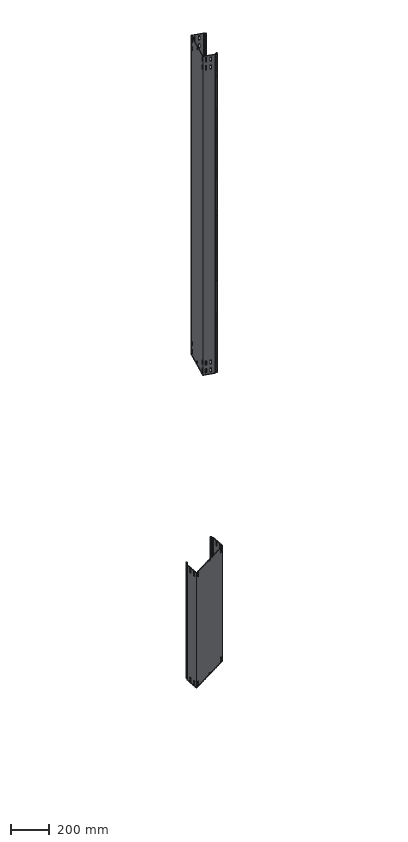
import cadquery as cq
import math

LENGTH = 2000
WIDTH = 200
DEPTH = 80
SHEET = 1.2
BEND_RADIUS = 0.5

STEP_START = 65.0
STEP_DEPTH = 3.5
STEP_RISE = 4.5
ROLL_RADIUS = 5.0
RETURN_LENGTH = 2.0

SLOT_PITCH = 50.0
SLOT_LENGTH = SLOT_PITCH / 2
ROW_OFFSETS = (SLOT_PITCH / 2, SLOT_PITCH * 3 / 2)
SLOT_WIDTH = 7.0
SLOT_ANGLE = 90
WEB_SLOT_INSET = 13.0
WALL_SLOT_PITCH = 25.0
LOWER_WALL_SLOT_Y = 17.0
UPPER_WALL_SLOT_Y = LOWER_WALL_SLOT_Y + WALL_SLOT_PITCH

CENTRE_HOLE_DIAMETER = 9.0
CENTRE_HOLE_OFFSET = 18.0


def skin_points(offset):
    """Corner points of the left wall, from web to lip, `offset` inward from the outer skin."""
    step_shift = offset * math.tan(math.atan2(STEP_DEPTH, STEP_RISE) / 2)
    wall = -WIDTH / 2 + offset
    neck = wall + STEP_DEPTH
    start = STEP_START - step_shift
    roll_y = DEPTH - ROLL_RADIUS
    radius = ROLL_RADIUS - offset
    roll_x = neck + radius
    lip = roll_x + radius
    return {
        "corner": (wall, offset),
        "step_low": (wall, start),
        "step_high": (neck, start + STEP_RISE),
        "roll_start": (neck, roll_y),
        "roll_top": (roll_x, roll_y + radius),
        "roll_end": (lip, roll_y),
        "lip_end": (lip, roll_y - RETURN_LENGTH),
    }


def channel():
    """The bent sheet without holes: one half and its mirror image."""
    outer = skin_points(0)
    inner = skin_points(SHEET)
    outer_corner = cq.selectors.NearestToPointSelector((*outer["corner"], LENGTH / 2))
    half = (
        cq.Workplane("XY")
        .moveTo(0, 0)
        .lineTo(*outer["corner"])
        .lineTo(*outer["step_low"])
        .lineTo(*outer["step_high"])
        .lineTo(*outer["roll_start"])
        .threePointArc(outer["roll_top"], outer["roll_end"])
        .lineTo(*outer["lip_end"])
        .lineTo(*inner["lip_end"])
        .lineTo(*inner["roll_end"])
        .threePointArc(inner["roll_top"], inner["roll_start"])
        .lineTo(*inner["step_high"])
        .lineTo(*inner["step_low"])
        .lineTo(*inner["corner"])
        .lineTo(0, SHEET)
        .close()
        .extrude(LENGTH)
        .edges(outer_corner)
        .fillet(BEND_RADIUS)
    )
    return half.union(half.mirror("YZ")).clean()


def from_both_ends(offset):
    return (offset, LENGTH - offset)


def slots(plane, positions, depth):
    """Upright slots centred at `positions` on `plane`, cut `depth` to both sides of it."""
    points = [(p, z) for p in positions for row in ROW_OFFSETS for z in from_both_ends(row)]
    outlines = cq.Workplane(plane).pushPoints(points).slot2D(SLOT_LENGTH, SLOT_WIDTH, SLOT_ANGLE)
    return outlines.extrude(depth, both=True)


def centre_holes():
    points = [(0, z) for z in from_both_ends(CENTRE_HOLE_OFFSET)]
    return cq.Workplane("XZ").pushPoints(points).circle(CENTRE_HOLE_DIAMETER / 2).extrude(SHEET, both=True)


web_slot_x = WIDTH / 2 - WEB_SLOT_INSET
result = (
    channel()
    .cut(slots("XZ", (-web_slot_x, web_slot_x), SHEET))
    .cut(slots("YZ", (LOWER_WALL_SLOT_Y, UPPER_WALL_SLOT_Y), WIDTH))
    .cut(centre_holes())
)